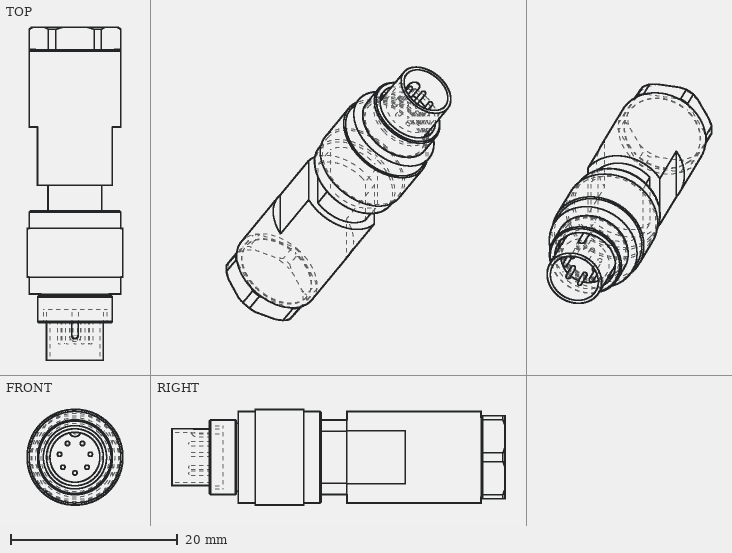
import cadquery as cq
import math


overall_length = 40.0
ring_front = 4.5
ring_rear = 7.75
collar_front = 7.95
grip_front = 10.0
grip_rear = 15.85
collar_rear = 17.95
body_front = 21.0
body_flat_rear = 28.0
body_rear = 37.1

tip_diameter = 6.85
bore_diameter = 6.0
ring_diameter = 9.0
ring_inner_diameter = 7.6
ring_neck_diameter = 8.2
collar_diameter = 11.0
grip_diameter = 11.5
neck_diameter = 9.0
body_diameter = 11.0

ring_chamfer = 0.15
collar_chamfer = 0.2

neck_across_flats = 6.5
body_across_flats = 9.0

nut_across_flats = 10.0
nut_groove_width = 0.15
nut_groove_diameter = 9.5
nut_chamfer_length = 0.3
nut_chamfer_depth = 0.3

bore_depth = ring_front
ring_gap_depth = 1.6

pin_count = 7
pin_diameter = 0.5
pin_circle_radius = 1.9
pin_spacing_angle = 50.5
pin_tip = 2.0

key_height = 3.25
key_end = 3.0
key_groove_radius = 0.4
key_rib_radius = 0.75


def cylinder(diameter, start, end):
    """Solid cylinder on the Y axis between two stations."""
    return cq.Workplane("XZ", origin=(0, start, 0)).circle(diameter / 2).extrude(start - end)


def round_nosed_rod(radius, nose_center, end, x=0.0, z=0.0):
    """Rod along Y with a hemispherical nose pointing towards the plug opening."""
    diagonal = radius * math.sqrt(0.5)
    half_profile = (
        cq.Workplane("XY", origin=(x, 0, z))
        .moveTo(0, nose_center - radius)
        .threePointArc((diagonal, nose_center - diagonal), (radius, nose_center))
        .lineTo(radius, end)
        .lineTo(0, end)
        .close()
    )
    return half_profile.revolve(360, (0, 0, 0), (0, 1, 0))


def flatted_cylinder(diameter, across_flats, start, end):
    """Cylinder along Y with two parallel flats facing +X and -X."""
    length = end - start
    slab = cq.Workplane("XY").box(across_flats, length, diameter).translate((0, start + length / 2, 0))
    return cylinder(diameter, start, end).intersect(slab)


def make_plug():
    """Tip, ring around it with an annular gap, bore, coding key and contact pins."""
    gap_floor = ring_front + ring_gap_depth
    tip = cylinder(tip_diameter, 0, ring_rear)
    ring = cylinder(ring_diameter, ring_front, ring_rear).edges().chamfer(ring_chamfer)
    gap = cylinder(ring_inner_diameter, ring_front, gap_floor)
    plug = ring.cut(gap).union(tip).union(cylinder(ring_neck_diameter, ring_rear, collar_front))
    rib = round_nosed_rod(key_rib_radius, key_end, gap_floor, z=key_height)
    plug = plug.cut(cylinder(bore_diameter, 0, bore_depth).cut(rib))
    plug = plug.cut(round_nosed_rod(key_groove_radius, key_end, gap_floor, z=key_height))

    first_angle = -90 - pin_spacing_angle * (pin_count - 1) / 2
    for index in range(pin_count):
        angle = math.radians(first_angle + index * pin_spacing_angle)
        pin_x = pin_circle_radius * math.cos(angle)
        pin_z = pin_circle_radius * math.sin(angle)
        pin = round_nosed_rod(pin_diameter / 2, pin_tip + pin_diameter / 2, ring_rear, pin_x, pin_z)
        plug = plug.union(pin)
    return plug


def make_collar():
    """Locking collar with a raised grip band."""
    collar = cylinder(collar_diameter, collar_front, collar_rear).faces(">Y").edges().chamfer(collar_chamfer)
    return collar.union(cylinder(grip_diameter, grip_front, grip_rear))


def make_body():
    """Flatted neck and the main barrel with wrench flats on its front part."""
    neck = flatted_cylinder(neck_diameter, neck_across_flats, collar_rear, body_front)
    flatted = flatted_cylinder(body_diameter, body_across_flats, body_front, body_flat_rear)
    return neck.union(flatted).union(cylinder(body_diameter, body_flat_rear, body_rear))


def make_nut():
    """Hexagonal nut, corners turned to the body diameter, with a groove in front of it."""
    nut_front = body_rear + nut_groove_width
    blank = cylinder(body_diameter, nut_front, overall_length)
    blank = blank.faces(">Y").edges().chamfer(nut_chamfer_length, nut_chamfer_depth)
    across_corners = nut_across_flats / math.cos(math.pi / 6)
    hexagon = cq.Workplane("XZ", origin=(0, nut_front, 0)).polygon(6, across_corners)
    nut = blank.intersect(hexagon.extrude(nut_front - overall_length))
    return nut.union(cylinder(nut_groove_diameter, body_rear, nut_front))


result = make_plug().union(make_collar()).union(make_body()).union(make_nut())